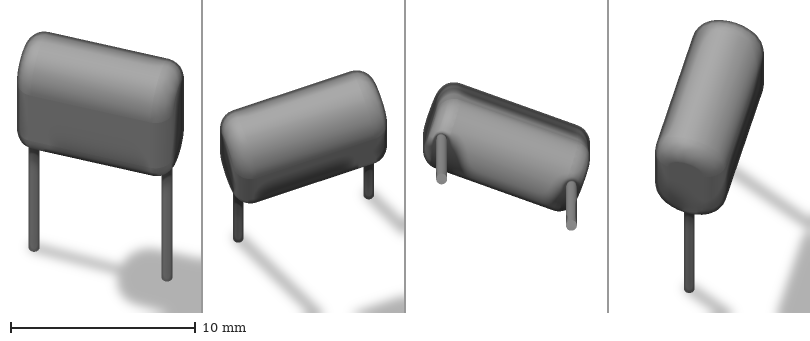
import cadquery as cq

case_length = 8.8
case_thickness = 4.0
case_height = 8.0
end_fillet = 1.0

overall_height = 18.0
lead_diameter = 0.6
lead_pitch = 7.5
lead_drop = overall_height - case_height
lead_embed = case_thickness / 2


def make_lead(x):
    """Round wire running from its free end up into the case."""
    return (
        cq.Workplane("XY", origin=(x, 0, -lead_drop))
        .circle(lead_diameter / 2)
        .extrude(lead_drop + lead_embed)
    )


def make_case(leads):
    """Slot-shaped bar with rounded end rims and a socket for each lead."""
    case = (
        cq.Workplane("YZ", origin=(0, 0, case_height / 2))
        .slot2D(case_height, case_thickness, angle=90)
        .extrude(case_length / 2, both=True)
    )
    case = case.faces("<X or >X").edges().fillet(end_fillet)
    for lead in leads:
        case = case.cut(lead)
    return case


leads = [make_lead(side * lead_pitch / 2) for side in (-1, 1)]
case = make_case(leads)

result = cq.Compound.makeCompound([case.solids().val(), *[lead.val() for lead in leads]])